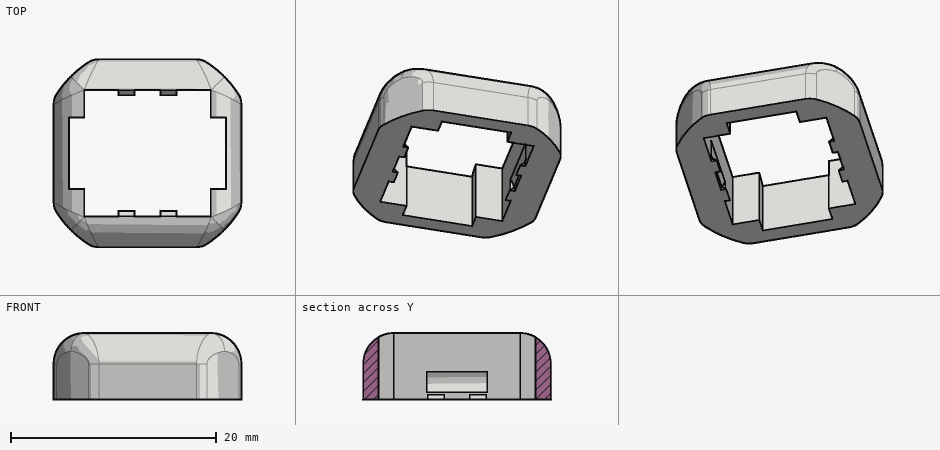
import cadquery as cq

side = 18.3
height = 6.5
top_round = 3.02
corner_circle_radius = 10.55
corner_blend = 1.83

opening = side - 2 * top_round
notch_span = 15.26
notch_width = 6.95

tab_inner = 1.25
tab_outer = 2.84
tab_reach = 0.51
tab_height = 0.48
hollow_bottom = 0.71
hollow_top = 2.73
hollow_length = 5.9
hollow_depth = 0.33

half_opening = opening / 2
vertical_axis = ((0, 0, 0), (0, 0, 1))


def body():
    """Square block with a rounded top, trimmed by a cylinder and blended at the corners."""
    block = cq.Workplane("XY").box(side, side, height, centered=(True, True, False))
    block = block.faces(">Z").edges().fillet(top_round)
    trim = cq.Workplane("XY").circle(corner_circle_radius).extrude(height)
    return block.intersect(trim).edges("|Z").fillet(corner_blend)


def opening_cut():
    """Square opening widened by a notch in the middle of both X sides."""
    square = cq.Workplane("XY").rect(opening, opening).extrude(height)
    notch = cq.Workplane("XY").rect(notch_span, notch_width).extrude(height)
    return square.union(notch)


def hollow():
    """Shallow cylindrical hollow in the +Y inner wall."""
    middle = (hollow_bottom + hollow_top) / 2
    return (
        cq.Workplane("YZ", origin=(-hollow_length / 2, 0, 0))
        .moveTo(half_opening, hollow_bottom)
        .threePointArc((half_opening + hollow_depth, middle), (half_opening, hollow_top))
        .close()
        .extrude(hollow_length)
    )


def tab(start):
    """Wedge with a sloping upper face on the +Y inner wall."""
    return (
        cq.Workplane("YZ", origin=(start, 0, 0))
        .moveTo(half_opening, 0)
        .lineTo(half_opening - tab_reach, 0)
        .lineTo(half_opening, tab_height)
        .close()
        .extrude(tab_outer - tab_inner)
    )


result = body().cut(opening_cut())
for turn in (0, 180):
    result = result.cut(hollow().rotate(*vertical_axis, turn))
    for tab_start in (-tab_outer, tab_inner):
        result = result.union(tab(tab_start).rotate(*vertical_axis, turn))